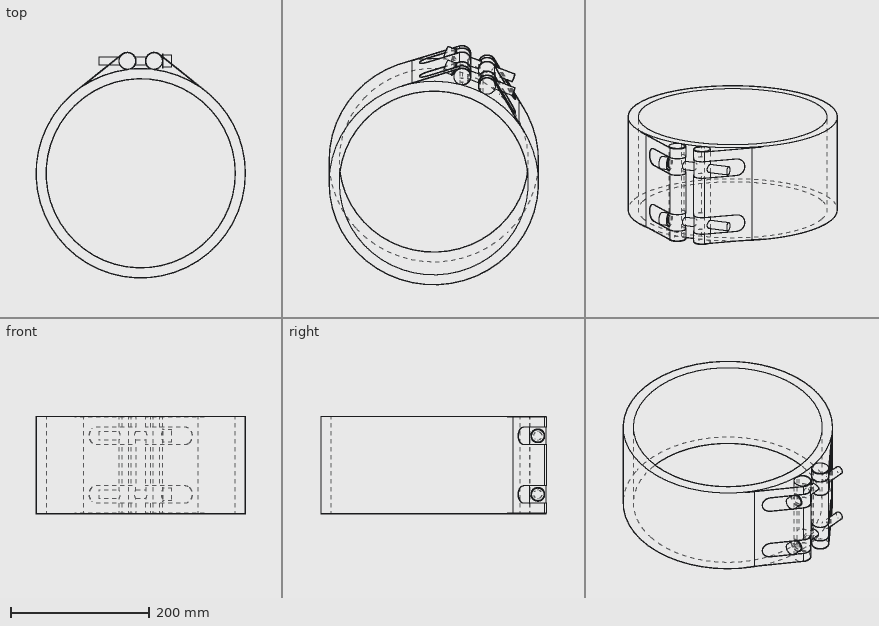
import math

import cadquery as cq

sleeve_diameter = 302.8
bore_diameter = 273.0
sleeve_height = 141.0

strap_thickness = 0.7
strap_height = 139.0

pin_diameter = 24.0
pin_height = sleeve_height
pin_spacing = 38.7

bolt_diameter = 12.0
bolt_spacing = 84.6
bolt_tip_x = -60.5
washer_diameter = 20.0
washer_thickness = 1.0
head_diameter = 18.0
head_length = 12.4
head_edge_radius = 1.0

slot_width = 25.0
slot_end_y = 142.0

sleeve_center = (0.0, 0.0)
sleeve_radius = sleeve_diameter / 2
pin_radius = pin_diameter / 2
wrap_radius = pin_radius + strap_thickness
pin_distance = sleeve_radius + pin_radius
pin_x = pin_spacing / 2
pin_y = math.sqrt(pin_distance**2 - pin_x**2)
pin_center = (pin_x, pin_y)
pin_bearing = math.degrees(math.asin(pin_x / pin_distance))

flat_bearing = pin_bearing + math.degrees(math.acos((sleeve_radius - wrap_radius) / pin_distance))
flat_normal_angle = 90.0 - flat_bearing
wrap_end_angle = 270.0 - pin_bearing
wrap_middle_angle = (flat_normal_angle + wrap_end_angle) / 2
bolt_heights = (-bolt_spacing / 2, bolt_spacing / 2)


def polar_point(center, radius, angle):
    """Point at an angle in degrees on a circle in the XY plane."""
    return (
        center[0] + radius * math.cos(math.radians(angle)),
        center[1] + radius * math.sin(math.radians(angle)),
    )


def make_sleeve():
    return (
        cq.Workplane("XY")
        .circle(sleeve_radius)
        .circle(bore_diameter / 2)
        .extrude(sleeve_height / 2, both=True)
    )


def make_slot_cutter(bolt_z):
    """Clearance for one bolt: a round-ended slot that runs up the flat and all around the pin."""
    tangent_point = polar_point(sleeve_center, sleeve_radius, flat_normal_angle)
    flat_tilt = math.radians(flat_bearing)
    end_x = tangent_point[0] - (slot_end_y - tangent_point[1]) / math.tan(flat_tilt)
    flat_plane = cq.Plane(
        origin=(end_x, slot_end_y, bolt_z),
        xDir=(-math.cos(flat_tilt), math.sin(flat_tilt), 0),
        normal=(math.sin(flat_tilt), math.cos(flat_tilt), 0),
    )
    round_end = (
        cq.Workplane(flat_plane)
        .circle(slot_width / 2)
        .extrude(2 * strap_thickness, both=True)
    )
    straight_length = math.hypot(pin_x - end_x, pin_y - slot_end_y) + wrap_radius
    straight_run = (
        cq.Workplane(flat_plane)
        .rect(straight_length, slot_width)
        .extrude(2 * wrap_radius, both=True)
        .translate(flat_plane.xDir * (straight_length / 2))
    )
    return round_end.union(straight_run)


def make_strap():
    """Strap on the +X side: flat run off the sleeve, then over the pin and down its inner side."""
    strap = (
        cq.Workplane("XY")
        .moveTo(*polar_point(sleeve_center, sleeve_radius, flat_normal_angle))
        .lineTo(*polar_point(pin_center, wrap_radius, flat_normal_angle))
        .threePointArc(
            polar_point(pin_center, wrap_radius, wrap_middle_angle),
            polar_point(pin_center, wrap_radius, wrap_end_angle),
        )
        .lineTo(*polar_point(pin_center, pin_radius, wrap_end_angle))
        .threePointArc(
            polar_point(pin_center, pin_radius, wrap_middle_angle),
            polar_point(pin_center, pin_radius, flat_normal_angle),
        )
        .lineTo(*polar_point(sleeve_center, sleeve_radius - strap_thickness, flat_normal_angle))
        .close()
        .extrude(strap_height / 2, both=True)
    )
    for bolt_z in bolt_heights:
        strap = strap.cut(make_slot_cutter(bolt_z))
    return strap


def make_pins():
    return (
        cq.Workplane("XY")
        .pushPoints([(-pin_x, pin_y), (pin_x, pin_y)])
        .circle(pin_radius)
        .extrude(pin_height / 2, both=True)
    )


def make_bolt(bolt_z):
    """Bolt with its washer against the outer side of the +X pin."""
    washer_x = pin_x + pin_radius
    head_x = washer_x + washer_thickness

    def rod(start_x, diameter, length):
        plane = cq.Plane(origin=(start_x, pin_y, bolt_z), xDir=(0, 1, 0), normal=(1, 0, 0))
        return cq.Workplane(plane).circle(diameter / 2).extrude(length)

    shank = rod(bolt_tip_x, bolt_diameter, head_x - bolt_tip_x)
    washer = rod(washer_x, washer_diameter, washer_thickness)
    head = rod(head_x, head_diameter, head_length).faces(">X").edges().fillet(head_edge_radius)
    return shank.union(washer).union(head)


strap = make_strap()
result = make_sleeve().union(strap).union(strap.mirror("YZ")).union(make_pins())
for bolt_z in bolt_heights:
    result = result.union(make_bolt(bolt_z))